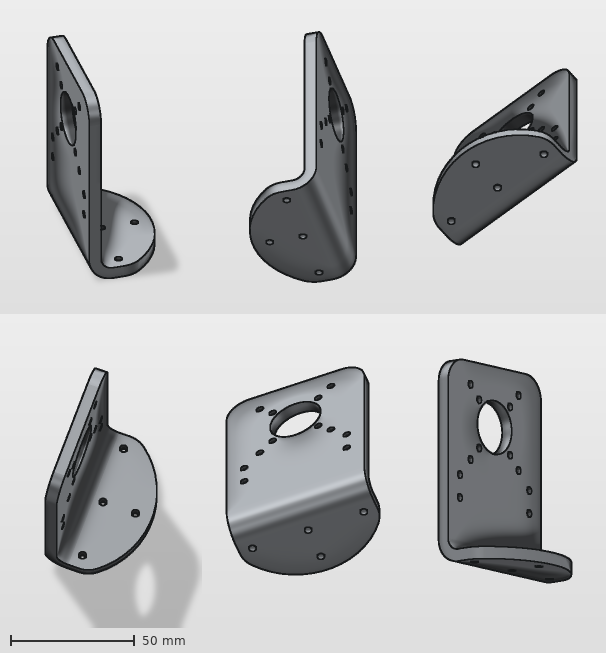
import cadquery as cq
import math

width = 60.0
depth = 35.0
height = 85.0
thickness = 5.0
bend_outer_radius = 2 * thickness
bend_inner_radius = bend_outer_radius - thickness
top_corner_radius = 10.0

foot_end_radius = depth
foot_corner_radius = 11.2

screw_diameter = 3.0
bore_diameter = 22.0
bore_height = 60.0
inner_screw_offset = 9.95
outer_screw_offset = 15.5
side_screw_offset = 22.35
side_screw_heights = (27.9, 37.3)
foot_side_screw_offset = 24.2
foot_front_screw_y = 14.0
foot_rear_screw_y = 28.0


def bent_sheet():
    """L-shaped sheet with concentric bend radii, extruded across the width."""
    block = cq.Workplane("XY").box(width, depth, height, centered=(True, False, False))
    block = block.edges("|X and <Y and <Z").fillet(bend_outer_radius)
    space = (
        cq.Workplane("XY")
        .box(width, depth, height, centered=(True, False, False))
        .translate((0, thickness, thickness))
        .edges("|X and <Y and <Z")
        .fillet(bend_inner_radius)
    )
    return block.cut(space)


def foot_outline():
    """Plan shape of the foot: straight sides, corner arcs and a large end arc."""
    half_width = width / 2
    corner_x = half_width - foot_corner_radius
    corner_y = math.sqrt((foot_end_radius - foot_corner_radius) ** 2 - corner_x**2)
    tangent_angle = math.atan2(corner_y, corner_x)
    tangent_x = foot_end_radius * math.cos(tangent_angle)
    tangent_y = foot_end_radius * math.sin(tangent_angle)
    middle_x = corner_x + foot_corner_radius * math.cos(tangent_angle / 2)
    middle_y = corner_y + foot_corner_radius * math.sin(tangent_angle / 2)
    return (
        cq.Workplane("XY")
        .moveTo(-half_width, 0)
        .lineTo(half_width, 0)
        .lineTo(half_width, corner_y)
        .threePointArc((middle_x, middle_y), (tangent_x, tangent_y))
        .threePointArc((0, depth), (-tangent_x, tangent_y))
        .threePointArc((-middle_x, middle_y), (-half_width, corner_y))
        .close()
        .extrude(height)
    )


def square_pattern(offset):
    """Four points around the bore, as (x, z)."""
    return [(x, bore_height + z) for x in (-offset, offset) for z in (-offset, offset)]


def wall_cutter(points, diameter):
    """Cylinders along Y through the wall at (x, z) points."""
    return cq.Workplane("XZ").pushPoints(points).circle(diameter / 2).extrude(-thickness)


result = bent_sheet().intersect(foot_outline())
result = result.edges("|Y and >Z").fillet(top_corner_radius)

side_screws = [(x, z) for x in (-side_screw_offset, side_screw_offset) for z in side_screw_heights]
wall_screws = square_pattern(inner_screw_offset) + square_pattern(outer_screw_offset) + side_screws
result = result.cut(wall_cutter([(0, bore_height)], bore_diameter))
result = result.cut(wall_cutter(wall_screws, screw_diameter))

foot_screws = [(x, foot_front_screw_y) for x in (-foot_side_screw_offset, 0, foot_side_screw_offset)]
foot_screws.append((0, foot_rear_screw_y))
foot_cutter = cq.Workplane("XY").pushPoints(foot_screws).circle(screw_diameter / 2).extrude(thickness)
result = result.cut(foot_cutter)